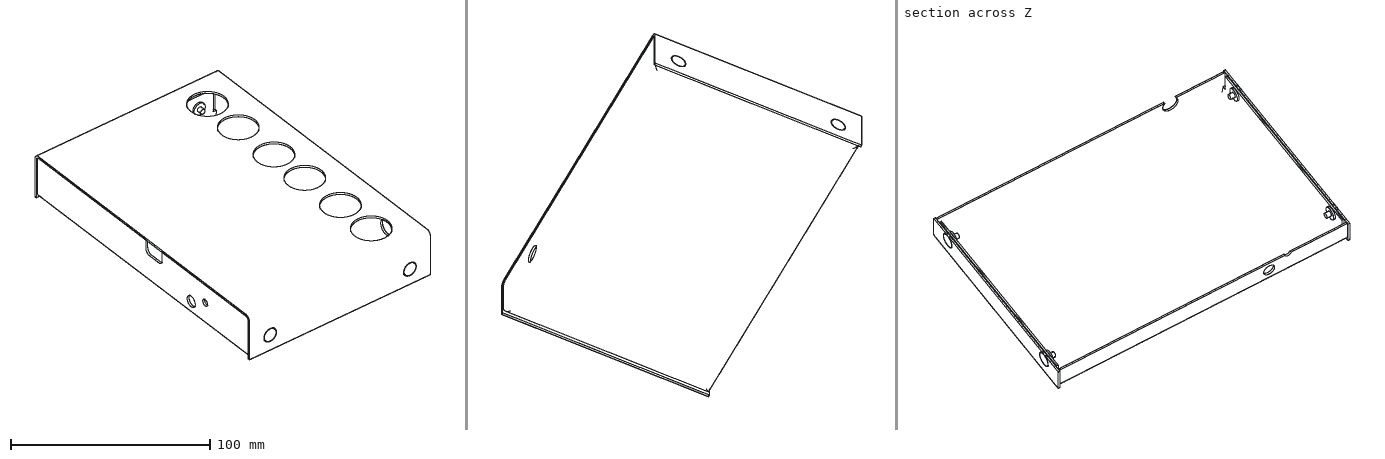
import cadquery as cq

LENGTH = 174.4
DEPTH = 115.82
HEIGHT = 26.87

SHEET = 1.2
BEND_OUTER = 3.0
BEND_INNER = BEND_OUTER - SHEET
SIDE_CLEARANCE = 0.15
END_INSET = 0.5

TRAY_LENGTH = LENGTH - 2 * (SHEET + SIDE_CLEARANCE)
TRAY_DEPTH = DEPTH - 2 * END_INSET
TRAY_HEIGHT = HEIGHT - SHEET
TRAY_SIDE = TRAY_LENGTH / 2
TRAY_INNER_SIDE = TRAY_SIDE - SHEET
TAB_LENGTH = 108.4
TAB_TOP_Z = 17.2

OPENING_DIAMETER = 20.95
OPENING_Y = 36.2
PAIR_PITCH = 54.0
OPENING_PITCH = 25.0

NOTCH_X = 9.0
NOTCH_WIDTH = 13.3
NOTCH_FLOOR_Z = 17.0
NOTCH_CORNER = 3.0
SOCKET_HOLE = (39.2, 8.2, 6.6)
LAMP_HOLE = (50.5, 14.1, 3.92)

CABLE_HOLE = (53.3, 10.4, 9.07)

FASTENER_Y = 44.7
FASTENER_Z = 9.5
SCREW_HEAD_DIAMETER = 7.5
HEAD_HOLE_DIAMETER = 8.1
SCREW_DIAMETER = 2.9
SCREW_TIP = 2.6
NUT_SHANK_DIAMETER = 5.41
NUT_FLANGE_DIAMETER = 7.2
NUT_FLANGE_THICKNESS = 1.0
NUT_FACE_X = TRAY_INNER_SIDE - NUT_FLANGE_THICKNESS
FASTENER_PLACES = [(side, y) for side in (-1, 1) for y in (-FASTENER_Y, FASTENER_Y)]


def rounded_block(length, depth, height, radius, edges):
    """Block standing on Z = 0 with the chosen edges rounded as sheet bends."""
    block = cq.Workplane("XY").box(length, depth, height, centered=(True, True, False))
    return block.edges(edges).fillet(radius)


def side_cylinder(side, y, inner_x, outer_x, diameter):
    """Cylinder along X between two distances from the middle plane, on the given side."""
    return (
        cq.Workplane("YZ", origin=(side * inner_x, 0, 0))
        .center(y, FASTENER_Z)
        .circle(diameter / 2)
        .extrude(side * (outer_x - inner_x))
    )


def make_screw(side, y):
    """Screw with a flat head flush with the lid and a tip standing out of the nut."""
    head = side_cylinder(side, y, LENGTH / 2 - SHEET, LENGTH / 2, SCREW_HEAD_DIAMETER)
    shank = side_cylinder(side, y, NUT_FACE_X - SCREW_TIP, LENGTH / 2, SCREW_DIAMETER)
    return head.union(shank)


def make_nut(side, y):
    """Clinch nut: a shank filling the tab's hole and a flange on the tab's inner face."""
    flange = side_cylinder(side, y, NUT_FACE_X, TRAY_INNER_SIDE, NUT_FLANGE_DIAMETER)
    shank = side_cylinder(side, y, NUT_FACE_X, TRAY_SIDE, NUT_SHANK_DIAMETER)
    bore = side_cylinder(side, y, NUT_FACE_X, TRAY_SIDE, SCREW_DIAMETER)
    return flange.union(shank).cut(bore)


def wall_hole(x, z, diameter, wall_side):
    """Cutter along Y through the front (-1) or back (+1) wall of the tray."""
    return (
        cq.Workplane("XZ", origin=(0, wall_side * TRAY_DEPTH / 2 + SHEET, 0))
        .center(x, z)
        .circle(diameter / 2)
        .extrude(2 * SHEET)
    )


def make_lid():
    outer = rounded_block(LENGTH, DEPTH, HEIGHT, BEND_OUTER, "|Y and >Z")
    inner = rounded_block(LENGTH - 2 * SHEET, DEPTH, HEIGHT - SHEET, BEND_INNER, "|Y and >Z")
    centres = [
        (pair * PAIR_PITCH + step * OPENING_PITCH / 2, OPENING_Y)
        for pair in (-1, 0, 1)
        for step in (-1, 1)
    ]
    openings = (
        cq.Workplane("XY").pushPoints(centres).circle(OPENING_DIAMETER / 2).extrude(HEIGHT)
    )
    lid = outer.cut(inner).cut(openings)
    for place in FASTENER_PLACES:
        lid = lid.cut(side_cylinder(*place, LENGTH / 2 - SHEET, LENGTH / 2, HEAD_HOLE_DIAMETER))
    return lid


def side_wall_trim():
    """Cutter that lowers the side walls of the tray to tabs and frees their ends."""
    inner_depth = TRAY_DEPTH - 2 * SHEET
    above_tabs = cq.Workplane("XY", origin=(0, 0, TAB_TOP_Z)).box(
        LENGTH, inner_depth, HEIGHT, centered=(True, True, False)
    )
    above_bends = cq.Workplane("XY", origin=(0, 0, BEND_OUTER)).box(
        LENGTH, inner_depth, HEIGHT, centered=(True, True, False)
    )
    between = cq.Workplane("XY").box(LENGTH, TAB_LENGTH, HEIGHT, centered=(True, True, False))
    return above_tabs.union(above_bends.cut(between))


def make_tray():
    outer = rounded_block(TRAY_LENGTH, TRAY_DEPTH, TRAY_HEIGHT, BEND_OUTER, "<Z")
    outer = outer.edges("|Y and >Z").fillet(BEND_INNER)
    inner = rounded_block(
        TRAY_LENGTH - 2 * SHEET, TRAY_DEPTH - 2 * SHEET, TRAY_HEIGHT, BEND_INNER, "<Z"
    ).translate((0, 0, SHEET))
    notch = (
        cq.Workplane("XY", origin=(NOTCH_X, -TRAY_DEPTH / 2, NOTCH_FLOOR_Z))
        .box(NOTCH_WIDTH, 2 * SHEET, HEIGHT, centered=(True, True, False))
        .edges("|Y and <Z")
        .fillet(NOTCH_CORNER)
    )
    tray = outer.cut(inner).cut(side_wall_trim()).cut(notch)
    tray = tray.cut(wall_hole(*SOCKET_HOLE, -1)).cut(wall_hole(*LAMP_HOLE, -1))
    tray = tray.cut(wall_hole(*CABLE_HOLE, 1))
    for place in FASTENER_PLACES:
        tray = tray.cut(side_cylinder(*place, TRAY_INNER_SIDE, TRAY_SIDE, NUT_SHANK_DIAMETER))
    return tray


lid = make_lid()
tray = make_tray()
screws = [make_screw(*place) for place in FASTENER_PLACES]
nuts = [make_nut(*place) for place in FASTENER_PLACES]

result = cq.Compound.makeCompound(
    [lid.val(), tray.val(), *[screw.val() for screw in screws], *[nut.val() for nut in nuts]]
)